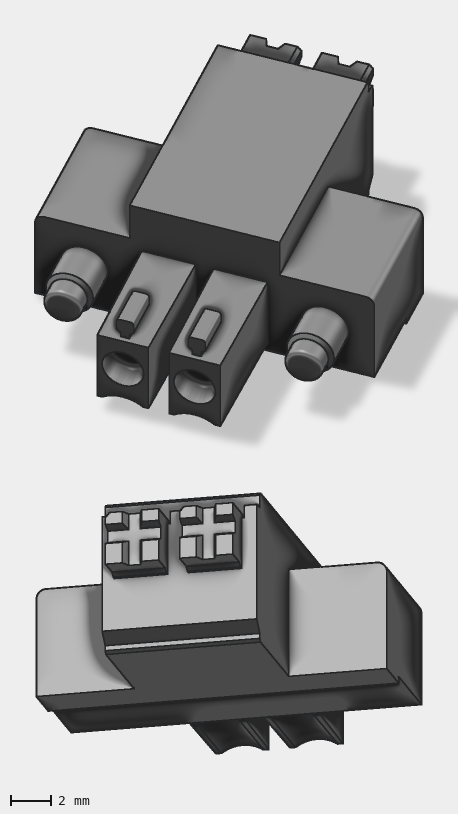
import cadquery as cq
import math


PITCH = 3.81
POLE_COUNT = 2
POLE_CENTERS = [(i - (POLE_COUNT - 1) / 2) * PITCH for i in range(POLE_COUNT)]

BODY_WIDTH = 7.95
BODY_HEIGHT = 7.8
BODY_TOP_LENGTH = 12.8
BODY_LENGTH = 13.4
LEDGE_HEIGHT = 7.02
LEDGE_FILLET = 0.15
SLOPE_LOW = 0.41
SLOPE_HIGH = 0.98
EDGE_CHAMFER = 0.15
RELIEF_LENGTH = 4.6
RELIEF_DEPTH = 0.33

TOTAL_WIDTH = 18.01
WING_LENGTH = 7.0
WING_HEIGHT = 5.6
WING_FILLET = 0.5

PIN_SPACING = 12.79
PIN_HEIGHT = 2.95
PIN_DIAMETER = 2.5
PIN_TIP_DIAMETER = 2.0
PIN_SHOULDER_START = 2.1
PIN_SHOULDER_END = 2.25
PIN_LENGTH = 3.3
PIN_TIP_ROUND = 0.3

PLUG_LENGTH = 6.6
PLUG_ROOT_WIDTH = 2.86
PLUG_TIP_WIDTH = 2.72
PLUG_BOTTOM = 0.85
PLUG_TOP = 4.93
SCALLOP_DIAMETER = 3.85
SCALLOP_DEPTH = 0.34

HOLE_HEIGHT = 3.07
HOLE_MOUTH_DIAMETER = 2.2
HOLE_THROAT_DIAMETER = 2.0
HOLE_BOTTOM_DIAMETER = 1.3
HOLE_THROAT_DEPTH = 1.0

KEY_START = 4.05
KEY_LENGTH = 2.25
KEY_TOP = 6.05
KEY_WIDTH = 0.92
KEY_NECK_WIDTH = 0.46
KEY_NECK_TOP = 5.18
KEY_FLARE_TOP = 5.39
KEY_ROUND = 0.2

LEVER_END = 15.2
LEVER_WIDTH = 2.73
LEVER_OFFSET = 0.07
LEVER_BOTTOM = 3.87
LEVER_TOP = 6.56
LEVER_CHAMFER = 0.22
NOTCH_DEPTH = 0.48
NOTCH_OUTER_WIDTH = 1.0
NOTCH_INNER_WIDTH = 0.6
NOTCH_HEIGHT = 5.45
HEEL_BOTTOM = 3.69
HEEL_SLOPE_START = 13.9
HEEL_SLOPE_END = 13.63
LEVER_SLOT_WIDTH = 2.86


def box(x_range, y_range, z_range):
    """Box spanning the given (low, high) range on each axis."""
    (x0, x1), (y0, y1), (z0, z1) = x_range, y_range, z_range
    return cq.Workplane("XY").box(x1 - x0, y1 - y0, z1 - z0, centered=False).translate((x0, y0, z0))


def extrude_across(points, x_center, width):
    """Extrude a (Y, Z) outline along X, centred on x_center."""
    profile = cq.Workplane("YZ").polyline(points).close()
    return profile.extrude(width / 2, both=True).translate((x_center, 0, 0))


def turned(points, x, z):
    """Revolve a (radius, Y) outline about the Y-parallel axis through (x, z)."""
    profile = cq.Workplane("XY").polyline(points).close()
    return profile.revolve(360, (0, 0, 0), (0, 1, 0)).translate((x, 0, z))


def make_housing():
    c = EDGE_CHAMFER
    outline = [
        (0, 0),
        (BODY_TOP_LENGTH - c, 0),
        (BODY_TOP_LENGTH, c),
        (BODY_TOP_LENGTH, SLOPE_LOW),
        (BODY_LENGTH, SLOPE_HIGH),
        (BODY_LENGTH, LEDGE_HEIGHT),
        (BODY_TOP_LENGTH, LEDGE_HEIGHT),
        (BODY_TOP_LENGTH, BODY_HEIGHT - c),
        (BODY_TOP_LENGTH - c, BODY_HEIGHT),
        (0, BODY_HEIGHT),
    ]
    body = extrude_across(outline, 0, BODY_WIDTH)
    body = body.faces(">Y").edges(">Z").fillet(LEDGE_FILLET)
    half = TOTAL_WIDTH / 2
    wings = box((-half, half), (0, WING_LENGTH), (0, WING_HEIGHT))
    wings = wings.faces(">Z").edges("|Y").fillet(WING_FILLET)
    relief = box((-half, half), (0, RELIEF_LENGTH), (0, RELIEF_DEPTH))
    return body.union(wings).cut(relief)


def make_pin(x):
    radius = PIN_DIAMETER / 2
    tip_radius = PIN_TIP_DIAMETER / 2
    pin = turned(
        [
            (0, 0),
            (radius, 0),
            (radius, -PIN_SHOULDER_START),
            (tip_radius, -PIN_SHOULDER_END),
            (tip_radius, -PIN_LENGTH),
            (0, -PIN_LENGTH),
        ],
        x,
        PIN_HEIGHT,
    )
    return pin.faces("<Y").edges().fillet(PIN_TIP_ROUND)


def make_key(x):
    half = KEY_WIDTH / 2
    neck = KEY_NECK_WIDTH / 2
    outline = [
        (-neck, PLUG_TOP),
        (-neck, KEY_NECK_TOP),
        (-half, KEY_FLARE_TOP),
        (-half, KEY_TOP),
        (half, KEY_TOP),
        (half, KEY_FLARE_TOP),
        (neck, KEY_NECK_TOP),
        (neck, PLUG_TOP),
    ]
    key = cq.Workplane("XZ").polyline(outline).close().extrude(KEY_LENGTH)
    key = key.faces(">Z").edges("|Y").fillet(KEY_ROUND)
    return key.translate((x, -KEY_START, 0))


def make_contact_hole(x):
    """Blind hole with a tapered mouth and a quarter-round at the bottom edge."""
    throat_radius = HOLE_THROAT_DIAMETER / 2
    bottom_radius = HOLE_BOTTOM_DIAMETER / 2
    corner = throat_radius - bottom_radius
    arc_middle = (
        bottom_radius + corner * math.cos(math.pi / 4),
        HOLE_THROAT_DEPTH + corner * math.sin(math.pi / 4),
    )
    hole_depth = HOLE_THROAT_DEPTH + corner
    profile = (
        cq.Workplane("XY")
        .lineTo(HOLE_MOUTH_DIAMETER / 2, 0)
        .lineTo(throat_radius, HOLE_THROAT_DEPTH)
        .threePointArc(arc_middle, (bottom_radius, hole_depth))
        .lineTo(0, hole_depth)
        .close()
    )
    hole = profile.revolve(360, (0, 0, 0), (0, 1, 0))
    return hole.translate((x, -PLUG_LENGTH, HOLE_HEIGHT))


def make_plug(x):
    root_half = PLUG_ROOT_WIDTH / 2
    tip_half = PLUG_TIP_WIDTH / 2
    outline = [
        (x - root_half, 0),
        (x + root_half, 0),
        (x + tip_half, -PLUG_LENGTH),
        (x - tip_half, -PLUG_LENGTH),
    ]
    plug = cq.Workplane("XY").workplane(offset=PLUG_BOTTOM).polyline(outline).close()
    plug = plug.extrude(PLUG_TOP - PLUG_BOTTOM)

    scallop_radius = SCALLOP_DIAMETER / 2
    scallop_axis = PLUG_BOTTOM + SCALLOP_DEPTH - scallop_radius
    scallop = cq.Workplane("XZ").center(x, scallop_axis).circle(scallop_radius).extrude(PLUG_LENGTH)

    return plug.cut(scallop).cut(make_contact_hole(x)).union(make_key(x))


def notch_outline(center):
    """Trapezoid notch in the lever end, as (Y, across) points."""
    outer = NOTCH_OUTER_WIDTH / 2
    inner = NOTCH_INNER_WIDTH / 2
    floor = LEVER_END - NOTCH_DEPTH
    return [
        (LEVER_END, center - outer),
        (floor, center - inner),
        (floor, center + inner),
        (LEVER_END, center + outer),
    ]


def make_lever(x):
    outline = [
        (BODY_TOP_LENGTH, HEEL_BOTTOM),
        (HEEL_SLOPE_END, HEEL_BOTTOM),
        (HEEL_SLOPE_START, LEVER_BOTTOM),
        (LEVER_END, LEVER_BOTTOM),
        (LEVER_END, LEVER_TOP),
        (BODY_TOP_LENGTH, LEVER_TOP),
    ]
    lever = extrude_across(outline, x, LEVER_WIDTH)
    lever = lever.faces(">Z").edges(">X").chamfer(LEVER_CHAMFER)
    side_notch = extrude_across(notch_outline(NOTCH_HEIGHT), x, LEVER_WIDTH)
    top_points = [(across, y) for y, across in notch_outline(x)]
    top_notch = cq.Workplane("XY").polyline(top_points).close().extrude(BODY_HEIGHT)
    return lever.cut(side_notch).cut(top_notch)


def make_lever_slot(x):
    """Opening in the rear ledge above the lever, flush with its right side."""
    right = x + LEVER_WIDTH / 2
    return box(
        (right - LEVER_SLOT_WIDTH, right),
        (BODY_TOP_LENGTH, BODY_LENGTH),
        (LEVER_TOP - LEVER_CHAMFER, LEDGE_HEIGHT),
    )


result = make_housing()
for side in (-1, 1):
    result = result.union(make_pin(side * PIN_SPACING / 2))
for pole_x in POLE_CENTERS:
    lever_x = pole_x + LEVER_OFFSET
    result = result.union(make_plug(pole_x))
    result = result.cut(make_lever_slot(lever_x))
    result = result.union(make_lever(lever_x))